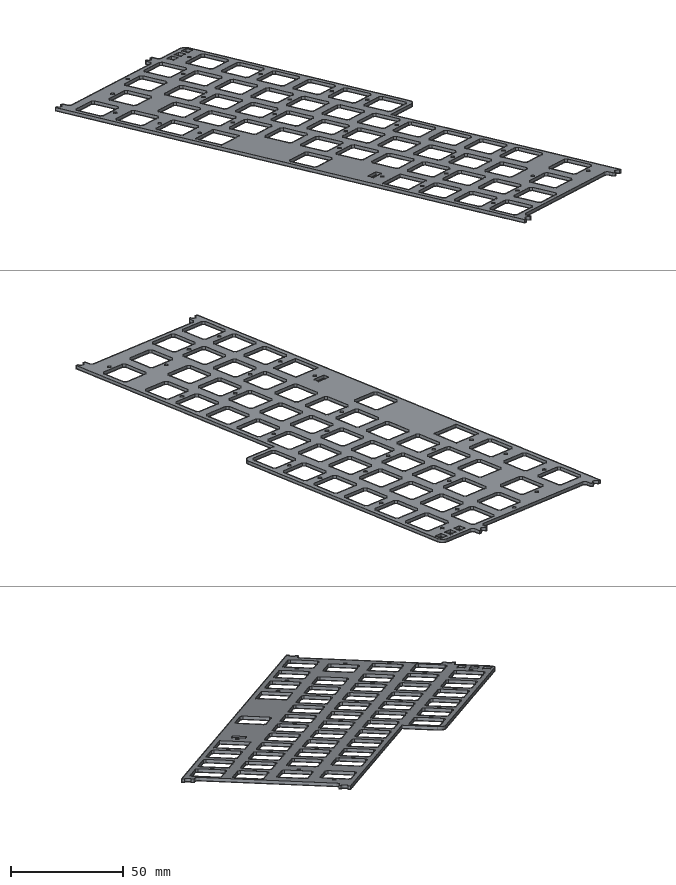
import cadquery as cq

overall_length = 251.2
field_length = 243.0
thickness = 1.58

units_wide = 12.75
row_count = 5
unit = field_length / units_wide
left_edge = -field_length / 2
right_edge = field_length / 2
top_edge = row_count * unit / 2
bottom_edge = -top_edge

top_row_units = 6.5
step_x = left_edge + top_row_units * unit
step_y = top_edge - unit
outer_corner_radius = 3.0

ear_reach = (overall_length - field_length) / 2
ear_height = 5.5
ear_tip_radius = 1.0
ear_root_radius = 1.5
notch_radius = 1.5

switch_length = 14.5
switch_height = 14.0
switch_corner_chamfer = 1.0
square_switch_size = switch_height
hole_diameter = 1.6
indicator_length = 3.5
indicator_height = 3.5
indicator_pitch = 5.8
indicator_count = 3
indicator_rise = 0.5
indicator_inset = 4.0
slot_length = 3.0
slot_height = 6.3
slot_offset = 4.0
slot_hole_column = 8.625

switch_columns = [
    [1 + i for i in range(6)],
    [0.5 + i for i in range(11)] + [11.875],
    [0.625] + [1.75 + i for i in range(10)] + [12],
    [0.875] + [2.25 + i for i in range(11)],
    [0.625, 1.75, 2.875, 6.625] + [10.25 + i for i in range(3)],
]
square_switch_columns = [4, 9.25]
hole_columns = [
    [0.5, 2.5, 4.5, 5.5],
    [1, 4, 7, 10, 12.375],
    [0.125, 2.25, 4.25, 6.25, 9.25, 11.5],
    [0.375, 3.75, 6.75, 9.75, 11.75],
    [1.125, 2.375, 3.5, slot_hole_column, 9.75, 11.75],
]


def column_x(column):
    return left_edge + column * unit


def row_y(row):
    return top_edge - (row + 0.5) * unit


def grid_points(columns_by_row):
    return [
        (column_x(column), row_y(row))
        for row, columns in enumerate(columns_by_row)
        for column in columns
    ]


def block(x_min, x_max, y_min, y_max):
    return (
        cq.Workplane("XY")
        .center((x_min + x_max) / 2, (y_min + y_max) / 2)
        .rect(x_max - x_min, y_max - y_min)
        .extrude(thickness)
    )


def vertical_edges_at(body, points):
    """Select the upright edges of the body that stand at the given points."""
    reach = 0.03
    picked = body.newObject([])
    for x, y in points:
        box = cq.selectors.BoxSelector(
            (x - reach, y - reach, -reach),
            (x + reach, y + reach, thickness + reach),
        )
        picked = picked.add(body.edges("|Z").edges(box))
    return picked


def make_outline():
    ear_left = left_edge - ear_reach
    ear_right = right_edge + ear_reach
    upper_ear_low = step_y - ear_height
    lower_ear_high = bottom_edge + ear_height

    body = block(left_edge, right_edge, bottom_edge, step_y)
    body = body.union(block(left_edge, step_x, step_y - unit, top_edge))
    for y_min, y_max in ((upper_ear_low, step_y), (bottom_edge, lower_ear_high)):
        body = body.union(block(ear_left, ear_right, y_min, y_max))
    body = body.clean()

    top_corners = [(left_edge, top_edge), (step_x, top_edge)]
    body = vertical_edges_at(body, top_corners).fillet(outer_corner_radius)

    ear_roots = [(left_edge, step_y)]
    ear_tips = []
    for y in (upper_ear_low, lower_ear_high):
        ear_roots += [(left_edge, y), (right_edge, y)]
        ear_tips += [(ear_left, y), (ear_right, y)]
    body = vertical_edges_at(body, ear_roots).fillet(ear_root_radius)
    body = vertical_edges_at(body, ear_tips).fillet(ear_tip_radius)

    notch_points = [
        (x, y - ear_height / 2)
        for x in (ear_left, ear_right)
        for y in (step_y, lower_ear_high)
    ]
    notches = cq.Workplane("XY").pushPoints(notch_points).circle(notch_radius).extrude(thickness)
    return body.cut(notches)


def make_switch_openings():
    return (
        cq.Workplane("XY")
        .pushPoints(grid_points(switch_columns))
        .rect(switch_length, switch_height)
        .extrude(thickness)
        .edges("|Z")
        .chamfer(switch_corner_chamfer)
    )


def make_square_switch_openings():
    points = [(column_x(column), row_y(row_count - 1)) for column in square_switch_columns]
    return (
        cq.Workplane("XY")
        .pushPoints(points)
        .rect(square_switch_size, square_switch_size)
        .extrude(thickness)
    )


def make_holes():
    return (
        cq.Workplane("XY")
        .pushPoints(grid_points(hole_columns))
        .circle(hole_diameter / 2)
        .extrude(thickness)
    )


def make_indicator_windows():
    return (
        cq.Workplane("XY")
        .center(left_edge + indicator_inset, row_y(0) + indicator_rise)
        .rarray(2.5, indicator_pitch, 1, indicator_count)
        .rect(indicator_length, indicator_height)
        .extrude(thickness)
    )


def make_slot():
    return (
        cq.Workplane("XY")
        .center(column_x(slot_hole_column) - slot_offset, row_y(row_count - 1))
        .rect(slot_length, slot_height)
        .extrude(thickness)
    )


result = (
    make_outline()
    .cut(make_switch_openings())
    .cut(make_square_switch_openings())
    .cut(make_holes())
    .cut(make_indicator_windows())
    .cut(make_slot())
)